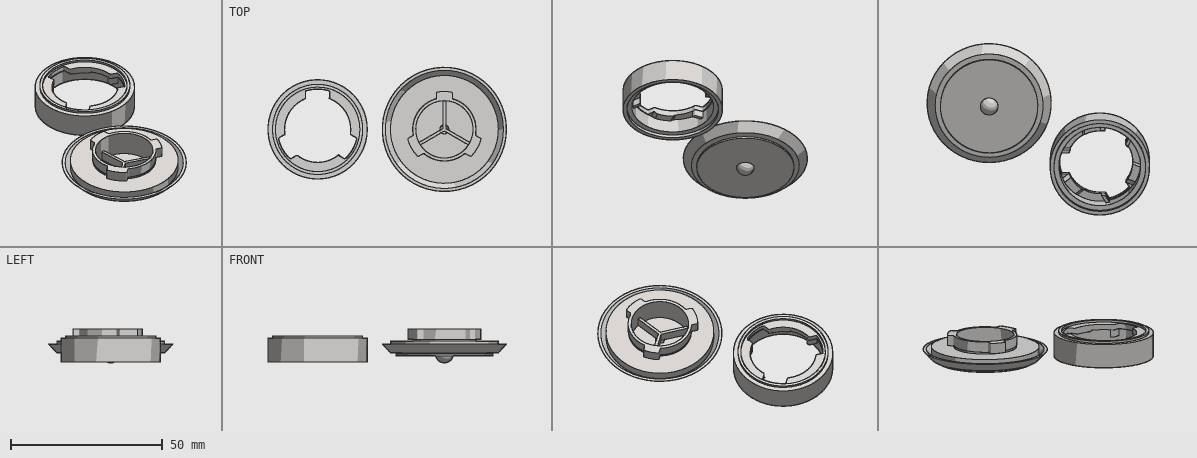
import cadquery as cq
import math

overall_length = 78.7
seal_diameter = 41.0
seal_radius = seal_diameter / 2
ring_diameter = 32.8
ring_radius = ring_diameter / 2
ring_x = ring_radius + seal_radius - overall_length
bayonet_angles = [90, 210, 330]
corner_fillet = 0.5

ring_bottom = 0.2
ring_top = 8.2
tab_radius = 10.9
notch_radius = 13.2
notch_width = 7.9
cavity_radius = 13.5
tab_thickness = 1.8
tab_bottom = ring_top - tab_thickness
counterbore_radius = 15.1
counterbore_depth = 1.1

ramp_offset = 38.0
ramp_length = 6.8
ramp_drop = 0.5
ramp_lead_length = 1.4
ramp_back_length = 0.7
stop_width = 1.0
stop_height = 2.45
stop_setback = 0.1

gasket_outer_radius = 14.9
gasket_inner_radius = 13.9
gasket_height = 0.7

cap_top = 11.25
hub_radius = 10.5
hub_base_radius = 10.4
bore_radius = 9.45
floor_level = 3.0
plate_radius = 17.8
plate_top = 7.2
neck_radius = 14.1
flange_radius = 16.05
flange_bottom = 2.4
dome_radius = floor_level
dome_cavity_radius = 1.5
spoke_width = 0.95
spoke_height = 3.2
lug_radius = 12.5
lug_bottom = 7.8
lug_widths = [5.3, 6.85, 6.85]

seal_bottom = 3.3
seal_top = 6.2
seal_web = 1.1
plate_bottom = seal_bottom + seal_web
seal_lip_width = 1.0


def cylinder(radius, bottom, top):
    """Upright cylinder on the origin axis between two levels."""
    return cq.Workplane("XY").workplane(offset=bottom).circle(radius).extrude(top - bottom)


def tube(outer, inner, bottom, top):
    """Upright tube on the origin axis between two levels."""
    return cylinder(outer, bottom, top).cut(cylinder(inner, bottom, top))


def radial_bar(angle, length, width, bottom, top):
    """Parallel-sided bar from the origin axis outward at the given angle."""
    bar = cq.Workplane("XY").box(length, width, top - bottom, centered=(False, True, False))
    return bar.translate((0, 0, bottom)).rotate((0, 0, 0), (0, 0, 1), angle)


def make_tab_plate():
    """Plate with three inward tabs, separated by notches with rounded corners."""
    opening = cylinder(tab_radius, tab_bottom, ring_top)
    notch_limit = cylinder(notch_radius, tab_bottom, ring_top)
    for angle in bayonet_angles:
        notch = radial_bar(angle, ring_radius, notch_width, tab_bottom, ring_top)
        opening = opening.union(notch.intersect(notch_limit))
    opening = opening.edges("|Z").fillet(corner_fillet)
    return cylinder(ring_radius, tab_bottom, ring_top).cut(opening)


def make_ramp(angle):
    """Raised pad under a tab with a sloped lead-in at the notch and a steep far end."""
    half = ramp_length / 2
    wedge = (
        cq.Workplane("XZ")
        .polyline([
            (-half, tab_bottom),
            (-half + ramp_lead_length, tab_bottom - ramp_drop),
            (half, tab_bottom - ramp_drop),
            (half + ramp_back_length, tab_bottom),
        ])
        .close()
        .extrude(-ring_radius)
        .rotate((0, 0, 0), (0, 0, 1), angle - ramp_offset - 90)
    )
    band = tube(cavity_radius, tab_radius, tab_bottom - ramp_drop, tab_bottom)
    return wedge.intersect(band)


def make_stop(angle):
    """Rib below a tab, just behind the notch side, with its inner notch corner rounded."""
    rib = radial_bar(0, ring_radius, stop_width, tab_bottom - stop_height, tab_bottom)
    rib = rib.translate((0, (notch_width + stop_width) / 2 + stop_setback, 0))
    rib = rib.intersect(tube(cavity_radius, tab_radius, ring_bottom, ring_top))
    rib = rib.edges("|Z").edges("<Y").edges("<X").fillet(corner_fillet)
    return rib.rotate((0, 0, 0), (0, 0, 1), angle)


def make_ring():
    ring = tube(ring_radius, cavity_radius, ring_bottom, tab_bottom)
    ring = ring.cut(cylinder(counterbore_radius, ring_bottom, ring_bottom + counterbore_depth))
    ring = ring.union(make_tab_plate())
    for angle in bayonet_angles:
        ring = ring.union(make_ramp(angle)).union(make_stop(angle))
    return ring.translate((ring_x, 0, 0))


def make_gasket():
    gasket = tube(gasket_outer_radius, gasket_inner_radius, ring_top, ring_top + gasket_height)
    return gasket.translate((ring_x, 0, 0))


def make_lugged_collar():
    """Upper part of the hub with three bayonet lugs, rounded at their corners and roots."""
    collar = cylinder(hub_radius, lug_bottom, cap_top)
    lug_limit = cylinder(lug_radius, lug_bottom, cap_top)
    for angle, width in zip(bayonet_angles, lug_widths):
        lug = radial_bar(angle, plate_radius, width, lug_bottom, cap_top)
        collar = collar.union(lug.intersect(lug_limit))
    return collar.edges("|Z").fillet(corner_fillet)


def make_cap():
    cap = cylinder(flange_radius, flange_bottom, floor_level)
    cap = cap.union(cylinder(neck_radius, floor_level, plate_bottom))
    cap = cap.union(cylinder(plate_radius, plate_bottom, plate_top))
    cap = cap.union(cylinder(hub_base_radius, plate_top, lug_bottom))
    cap = cap.union(make_lugged_collar())
    cap = cap.cut(cylinder(bore_radius, floor_level, cap_top))
    dome_center = cq.Workplane("XY").workplane(offset=floor_level)
    dome = dome_center.sphere(dome_radius).intersect(cylinder(dome_radius, 0, floor_level))
    cap = cap.union(dome).cut(dome_center.sphere(dome_cavity_radius))
    spoke_reach = (bore_radius + hub_radius) / 2
    for angle in bayonet_angles:
        spoke = radial_bar(angle, spoke_reach, spoke_width, floor_level, floor_level + spoke_height)
        cap = cap.union(spoke)
    return cap


def make_seal():
    """Washer in the groove between plate and flange, flaring into a conical lip."""
    lip_inner = seal_radius - seal_lip_width
    return (
        cq.Workplane("XZ")
        .polyline([
            (neck_radius, seal_bottom),
            (plate_radius, seal_bottom),
            (seal_radius, seal_top),
            (lip_inner, seal_top),
            (plate_radius, plate_bottom),
            (neck_radius, plate_bottom),
        ])
        .close()
        .revolve(360, (0, 0, 0), (0, 1, 0))
    )


ring = make_ring()
gasket = make_gasket()
cap = make_cap()
seal = make_seal()

result = cq.Compound.makeCompound([ring.val(), gasket.val(), cap.val(), seal.val()])